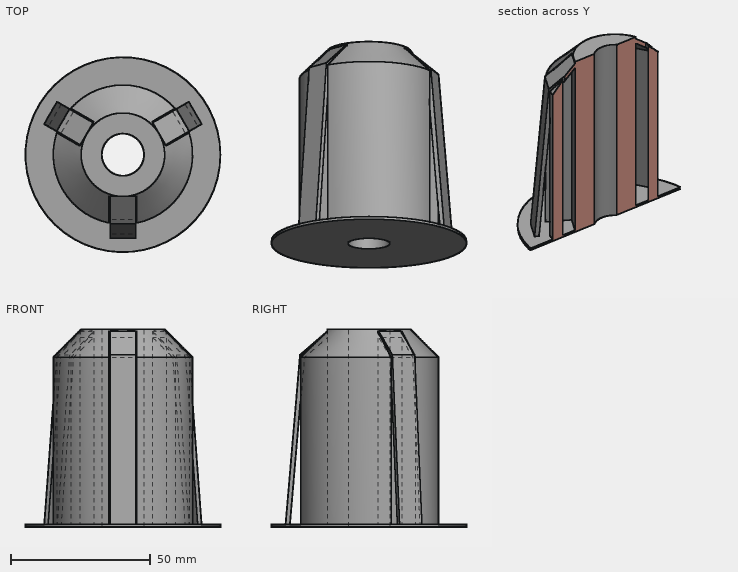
import cadquery as cq
import math

height = 71.0
flange_radius = 35.0
flange_thickness = 1.0
body_radius = 25.0
rim_radius = 15.0
cone_height = body_radius - rim_radius
bore_radius = 7.5

finger_angles = (-90, 30, 150)
slot_width = 10.0
finger_width = 9.2
finger_thickness = 1.6
tip_drop = 0.8
knee_radius = 24.8
knee_z = 61.8
foot_radius = 29.95


def make_body():
    """Flange, cylinder and cone in one revolved profile with a central bore."""
    profile = [
        (bore_radius, 0),
        (flange_radius, 0),
        (flange_radius, flange_thickness),
        (body_radius, flange_thickness),
        (body_radius, height - cone_height),
        (rim_radius, height),
        (bore_radius, height),
    ]
    return cq.Workplane("XZ").polyline(profile).close().revolve(360, (0, 0), (0, 1))


def make_slot():
    """Cutter along +X, from the rim outward and from the flange upward."""
    return cq.Workplane("XY").box(
        flange_radius - rim_radius,
        slot_width,
        height - flange_thickness,
        centered=(False, True, False),
    ).translate((rim_radius, 0, flange_thickness))


def make_finger():
    """Bent strip along +X that hangs from the slot end and stands on the flange."""
    tip_z = height - tip_drop
    tip_slope = (tip_z - knee_z) / (knee_radius - rim_radius)
    leg_slope = (foot_radius - knee_radius) / (knee_z - flange_thickness)
    tip_depth = finger_thickness * math.hypot(1, tip_slope)
    foot_depth = finger_thickness * math.hypot(1, leg_slope)

    drop = (tip_depth - tip_slope * foot_depth) / (1 - tip_slope * leg_slope)
    inner_knee = (knee_radius - foot_depth + leg_slope * drop, knee_z - drop)
    outline = [
        (rim_radius, tip_z),
        (knee_radius, knee_z),
        (foot_radius, flange_thickness),
        (foot_radius - foot_depth, flange_thickness),
        inner_knee,
        (rim_radius, tip_z - tip_depth),
    ]
    return cq.Workplane("XZ").polyline(outline).close().extrude(finger_width / 2, both=True)


def around_axis(shape, angle):
    return shape.rotate((0, 0, 0), (0, 0, 1), angle)


result = make_body()
for angle in finger_angles:
    result = result.cut(around_axis(make_slot(), angle))
    result = result.union(around_axis(make_finger(), angle))